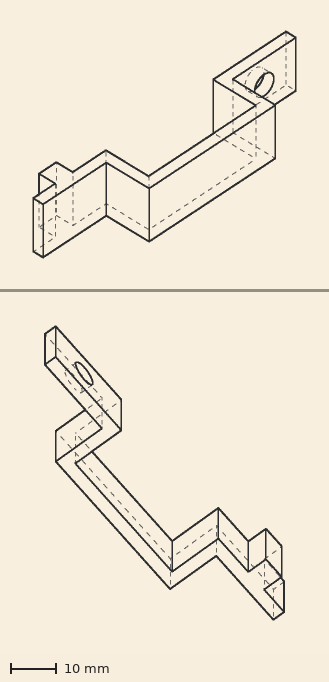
import cadquery as cq

length = 80.0
height = 15.0
wall = 3.0

tab_length = 20.0
strip_depth = 16.0

block_depth = 5.0
block_width = 5.5
block_start = 7.0

hole_diameter = 6.0

hole_end_distance = tab_length / 2
bridge_start = tab_length
bridge_end = length - tab_length


def make_strip():
    """Bent strip of constant thickness, with the tab faces at X = 0."""
    outline = [
        (0, 0),
        (wall, 0),
        (wall, bridge_start),
        (strip_depth, bridge_start),
        (strip_depth, bridge_end),
        (wall, bridge_end),
        (wall, length),
        (0, length),
        (0, bridge_end - wall),
        (strip_depth - wall, bridge_end - wall),
        (strip_depth - wall, bridge_start + wall),
        (0, bridge_start + wall),
    ]
    return cq.Workplane("XY").polyline(outline).close().extrude(height)


def make_block():
    """Full-height block on the front tab, sunk through its wall."""
    return (
        cq.Workplane("XY")
        .box(block_depth + wall, block_width, height, centered=False)
        .translate((-block_depth, block_start, 0))
    )


def make_hole():
    """Cylinder along X that pierces the rear tab at mid height."""
    return (
        cq.Workplane("YZ")
        .center(length - hole_end_distance, height / 2)
        .circle(hole_diameter / 2)
        .extrude(wall)
    )


result = make_strip().union(make_block()).cut(make_hole())